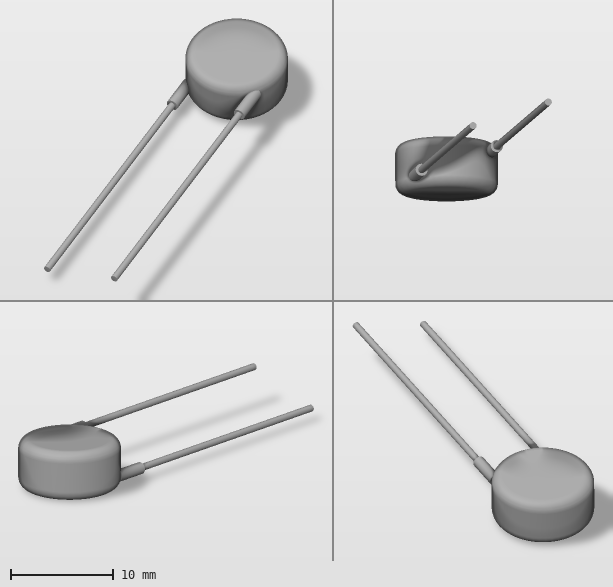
import cadquery as cq

case_diameter = 10.0
case_height = 5.0
case_edge_radius = 1.0

overall_length = 36.12
lead_spacing = 7.48
lead_height_offset = 2.6
lead_diameter = 0.7
lead_tip_y = case_diameter / 2 - overall_length

sleeve_diameter = 1.2
sleeve_root_y = -2.85
sleeve_end_y = -6.18

lead_positions = [
    (side * lead_spacing / 2, side * lead_height_offset / 2) for side in (-1, 1)
]


def make_rod(position, diameter, start_y, end_y):
    """Round rod running towards -Y, with its axis at the given (x, z)."""
    x, z = position
    return (
        cq.Workplane("XZ", origin=(x, start_y, z))
        .circle(diameter / 2)
        .extrude(start_y - end_y)
    )


def make_lead(position):
    """Straight wire seated at the root of its sleeve."""
    return make_rod(position, lead_diameter, sleeve_root_y, lead_tip_y)


def make_case():
    """Rounded disc with two sleeves, bored to receive the leads."""
    case = (
        cq.Workplane("XY")
        .cylinder(case_height, case_diameter / 2)
        .edges("%CIRCLE")
        .fillet(case_edge_radius)
    )
    for position in lead_positions:
        case = case.union(make_rod(position, sleeve_diameter, sleeve_root_y, sleeve_end_y))
    for position in lead_positions:
        case = case.cut(make_lead(position))
    return case


case = make_case()
leads = [make_lead(position) for position in lead_positions]

result = cq.Compound.makeCompound([case.solids().val(), *[lead.val() for lead in leads]])